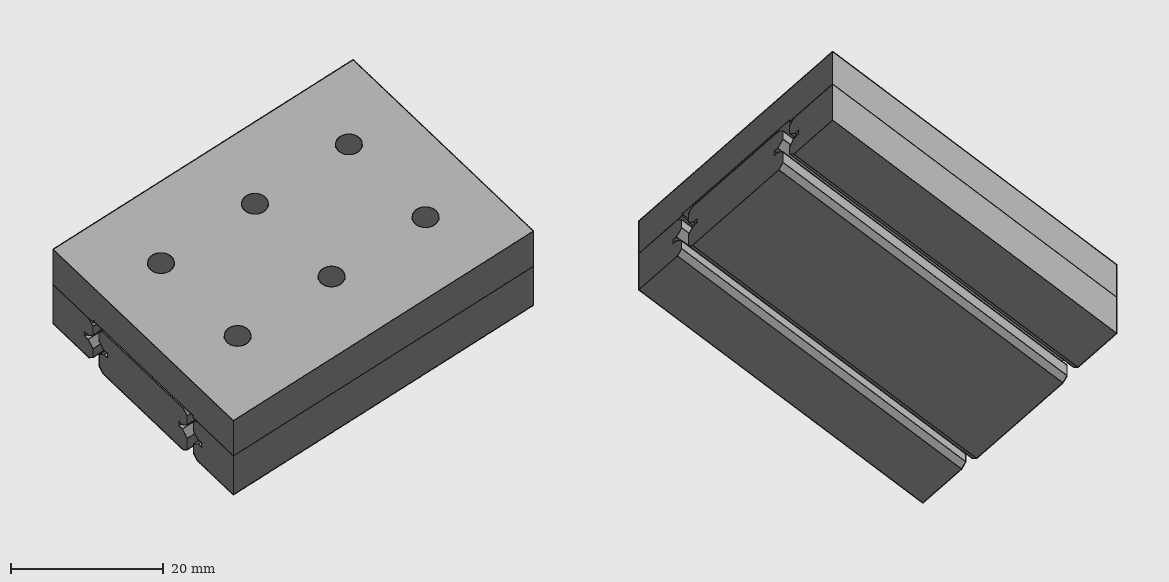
import cadquery as cq

width = 37.45
length = 50.8
height = 15.95

rail_top = 8.65
relief_half_width = 10.35
relief_depth = 0.4
hole_diameter = 3.5
hole_pitch = 15.9
hole_columns = 2
hole_rows = 3

centre_rail_half_width = 9.15
side_rail_inner_x = 10.4
side_rail_bottom = 0.55
rail_chamfer = 0.8

groove_z = (side_rail_bottom + rail_top) / 2
vee_half_height = 1.4
slot_half_height = 0.4
vee_depth = vee_half_height - slot_half_height
groove_depth = 1.75


def extrude_along_length(outline):
    """Extrude a closed list of (x, z) points over the full length."""
    return cq.Workplane("XZ").polyline(outline).close().extrude(length / 2, both=True)


def rail_edge(edge_x, bottom, inward):
    """Points up a grooved, chamfered rail edge; inward (+1 or -1) is the X direction into the rail."""
    chamfer_x = edge_x + inward * rail_chamfer
    vee_root_x = edge_x + inward * vee_depth
    slot_floor_x = edge_x + inward * groove_depth
    return [
        (chamfer_x, bottom),
        (edge_x, bottom + rail_chamfer),
        (edge_x, groove_z - vee_half_height),
        (vee_root_x, groove_z - slot_half_height),
        (slot_floor_x, groove_z - slot_half_height),
        (slot_floor_x, groove_z + slot_half_height),
        (vee_root_x, groove_z + slot_half_height),
        (edge_x, groove_z + vee_half_height),
        (edge_x, rail_top - rail_chamfer),
        (chamfer_x, rail_top),
    ]


def make_plate():
    """Carriage plate with a shallow relief above the centre rail and a grid of through holes."""
    plate_height = height - rail_top
    plate = cq.Workplane("XY").workplane(offset=rail_top).rect(width, length).extrude(plate_height)
    relief = (
        cq.Workplane("XY")
        .workplane(offset=rail_top)
        .rect(2 * relief_half_width, length)
        .extrude(relief_depth)
    )
    holes = (
        cq.Workplane("XY")
        .workplane(offset=rail_top)
        .rarray(hole_pitch, hole_pitch, hole_columns, hole_rows)
        .circle(hole_diameter / 2)
        .extrude(plate_height)
    )
    return plate.cut(relief).cut(holes)


def make_centre_rail():
    """Fixed rail with a bearing groove along both edges."""
    right_edge = rail_edge(centre_rail_half_width, 0, -1)
    left_edge = rail_edge(-centre_rail_half_width, 0, 1)
    return extrude_along_length(right_edge + left_edge[::-1])


def make_side_rail(side):
    """Outer rail under the plate; side is -1 for the -X rail and +1 for the +X rail."""
    outer_x = side * width / 2
    inner_edge = rail_edge(side * side_rail_inner_x, side_rail_bottom, side)
    outer_edge = [(outer_x, rail_top), (outer_x, side_rail_bottom)]
    return extrude_along_length(inner_edge + outer_edge)


plate = make_plate()
centre_rail = make_centre_rail()
side_rails = [make_side_rail(side) for side in (-1, 1)]

result = cq.Compound.makeCompound(
    [plate.val(), centre_rail.val(), *[rail.val() for rail in side_rails]]
)